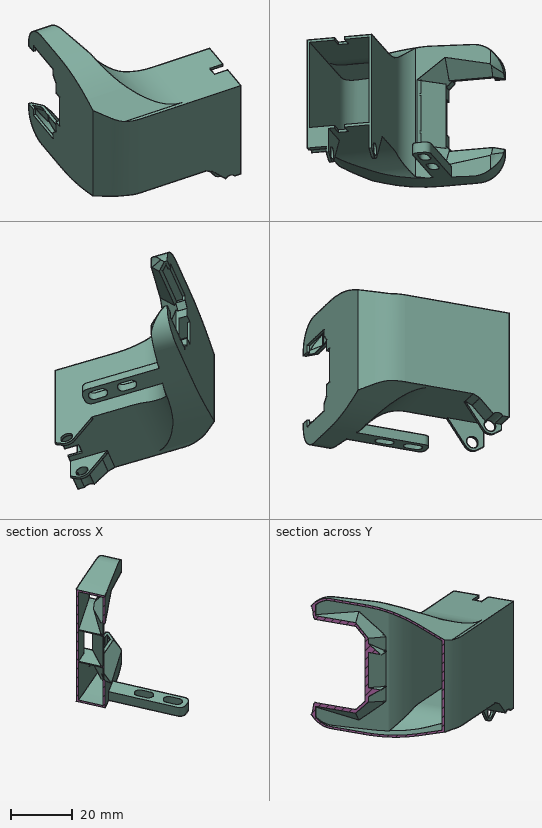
import cadquery as cq
import math


width = 52.8
depth = 50.0
half_height = 22.5
wall = 0.9

tip_radius = 8.9
flat_end_x = 21.8
curve_end_x = 40.8
flank_end_x = 51.65
top_flank_angle = math.radians(22.0)
bottom_flank_angle = math.radians(16.7)

mouth_half = 12.05
mouth_depth = 18.95
mouth_chamfer = 1.95
edge_bevel_depth = 3.9
corner_bevel_depth = 3.2
jaw_bevel_rate = 1.28
back_bevel_rate = 1.25
corner_bevel_rate = 1.27

tip_length = 3.3
tip_profile = ((10.45, -0.25), (13.55, 2.2), (24.0, 7.2))
jaw_profile = ((10.45, 2.7), (15.3, 6.75), (24.0, 6.75))
tip_shift_ratio = 1.5

back_start_y = 6.25
back_slope = 0.15
neck_foot_x = 27.45
neck_foot_y = back_start_y + back_slope * neck_foot_x
neck_top_y = 18.85
column_left = 31.05
corner_cut = 4.2
corner_cut_x = 44.85

shoulder_y = 9.8
top_shoulder_end_y = 29.05
bottom_shoulder_end_y = 23.1

jaw_slot_end = 16.95
jaw_slot_height = 2.45
floor_slot_height = 12.05
floor_slot_depth = 2.55
vane_tip_x = 27.2

notch_width = 3.3
notch_length = 4.8

arm_left = 15.7
arm_width = 6.05
arm_thickness = 3.5
arm_start_y = 7.9
arm_end_y = 35.65
arm_corner_radius = 2.1
arm_slot_width = 3.4
arm_slot_length = 6.4
arm_slot_centres_y = (20.65, 30.7)

tab_hole_y = 46.0
tab_hole_z = -23.55
tab_hole_radius = 2.0
tab_radius = 2.95
tab_front_y = 37.2
tab_rear_z = -24.45
second_tab_x = 45.5
block_step_y = 39.6
block_step_z = -17.6


def flank_drop(angle):
    """Height lost from the flat edge to the column face along a curve and its flank."""
    curve_length = curve_end_x - flat_end_x
    return curve_length * math.tan(angle / 2) + (flank_end_x - curve_end_x) * math.tan(angle)


def flank_point(angle, fraction):
    """Inset (x, drop) on the curve at a fraction of its turning angle."""
    radius = (curve_end_x - flat_end_x) / math.sin(angle)
    turned = angle * fraction
    return flat_end_x + radius * math.sin(turned), radius * (1 - math.cos(turned))


column_top = half_height - flank_drop(top_flank_angle)
column_bottom = flank_drop(bottom_flank_angle) - half_height


def front_outline():
    """C-shaped outline in the XZ plane."""
    diagonal = tip_radius * (1 - math.sqrt(0.5))
    tip_z = half_height - tip_radius
    top_mid_x, top_mid_drop = flank_point(top_flank_angle, 0.5)
    top_end_x, top_end_drop = flank_point(top_flank_angle, 1.0)
    low_mid_x, low_mid_drop = flank_point(bottom_flank_angle, 0.5)
    low_end_x, low_end_drop = flank_point(bottom_flank_angle, 1.0)
    return (
        cq.Workplane("XZ")
        .moveTo(0, mouth_half)
        .lineTo(0, tip_z)
        .threePointArc((diagonal, half_height - diagonal), (tip_radius, half_height))
        .lineTo(flat_end_x, half_height)
        .threePointArc((top_mid_x, half_height - top_mid_drop), (top_end_x, half_height - top_end_drop))
        .lineTo(flank_end_x, column_top)
        .lineTo(width, column_top)
        .lineTo(width, column_bottom)
        .lineTo(flank_end_x, column_bottom)
        .lineTo(low_end_x, low_end_drop - half_height)
        .threePointArc((low_mid_x, low_mid_drop - half_height), (flat_end_x, -half_height))
        .lineTo(tip_radius, -half_height)
        .threePointArc((diagonal, diagonal - half_height), (0, -tip_z))
        .lineTo(0, -mouth_half)
        .lineTo(mouth_depth - mouth_chamfer, -mouth_half)
        .lineTo(mouth_depth, mouth_chamfer - mouth_half)
        .lineTo(mouth_depth, mouth_half - mouth_chamfer)
        .lineTo(mouth_depth - mouth_chamfer, mouth_half)
        .close()
    )


def tangent_arc_middle(start, along, across):
    """Middle of an arc that leaves start parallel to Y and ends at the offset (across, along)."""
    radius = (along**2 + across**2) / (2 * abs(across))
    half_turn = math.atan2(abs(across), abs(along))
    sideways = math.copysign(radius * (1 - math.cos(half_turn)), across)
    forward = math.copysign(radius * math.sin(half_turn), along)
    return start[0] + sideways, start[1] + forward


def plan_outline(end_y):
    """Outline in the XY plane: sloped plate back, curved neck and straight column."""
    neck_top = (column_left, neck_top_y)
    neck_middle = tangent_arc_middle(neck_top, neck_foot_y - neck_top_y, neck_foot_x - column_left)
    cut_end_x = corner_cut_x + corner_cut
    edge_radius = (width - cut_end_x) / (1 - math.cos(math.pi / 4))
    edge_end = (width, corner_cut + edge_radius * math.sin(math.pi / 4))
    edge_middle = (
        width - edge_radius * (1 - math.cos(math.pi / 8)),
        edge_end[1] - edge_radius * math.sin(math.pi / 8),
    )
    return (
        cq.Workplane("XY")
        .moveTo(0, 0)
        .lineTo(corner_cut_x, 0)
        .lineTo(cut_end_x, corner_cut)
        .threePointArc(edge_middle, edge_end)
        .lineTo(width, end_y)
        .lineTo(column_left, end_y)
        .lineTo(*neck_top)
        .threePointArc(neck_middle, (neck_foot_x, neck_foot_y))
        .lineTo(0, back_start_y)
        .close()
    )


def side_outline(end_y):
    """Outline in the YZ plane: full height plate with concave shoulders down to the column."""
    top_start = (column_top, top_shoulder_end_y)
    low_start = (column_bottom, bottom_shoulder_end_y)
    top_middle_z, top_middle_y = tangent_arc_middle(
        top_start, shoulder_y - top_shoulder_end_y, half_height - column_top
    )
    low_middle_z, low_middle_y = tangent_arc_middle(
        low_start, shoulder_y - bottom_shoulder_end_y, -half_height - column_bottom
    )
    return (
        cq.Workplane("YZ")
        .moveTo(0, -half_height)
        .lineTo(shoulder_y, -half_height)
        .threePointArc((low_middle_y, low_middle_z), (bottom_shoulder_end_y, column_bottom))
        .lineTo(end_y, column_bottom)
        .lineTo(end_y, column_top)
        .lineTo(top_shoulder_end_y, column_top)
        .threePointArc((top_middle_y, top_middle_z), (shoulder_y, half_height))
        .lineTo(0, half_height)
        .close()
    )


def box(x_range, y_range, z_range):
    """Axis-aligned box between pairs of limits."""
    sizes = [high - low for low, high in (x_range, y_range, z_range)]
    return cq.Workplane("XY").box(*sizes, centered=False).translate((x_range[0], y_range[0], z_range[0]))


def ruled_solid(first, second):
    """Solid with flat ends joined by ruled sides between two matching 3D polygons."""
    wires = [cq.Wire.makePolygon([cq.Vector(*p) for p in loop], close=True) for loop in (first, second)]
    return cq.Workplane(obj=cq.Solid.makeLoft(wires, True))


def mouth_bevel():
    """Clearance that widens towards the rear behind the jaws and the mouth floor."""
    corner_x = mouth_depth - mouth_chamfer

    def section(y):
        opened = max(y - edge_bevel_depth, 0)
        jaw_z = mouth_half + jaw_bevel_rate * opened
        floor_x = mouth_depth + back_bevel_rate * opened
        corner_sum = corner_x + mouth_half + corner_bevel_rate * (y - corner_bevel_depth)
        jaw_x = corner_sum - jaw_z
        floor_z = corner_sum - floor_x
        upper = [(-wall, jaw_z), (jaw_x, jaw_z), (floor_x, floor_z)]
        lower = [(x, -z) for x, z in reversed(upper)]
        return [(x, y, z) for x, z in upper + lower]

    front = ruled_solid(section(corner_bevel_depth), section(edge_bevel_depth))
    return front.union(ruled_solid(section(edge_bevel_depth), section(neck_foot_y)))


def tip_bevel(side):
    """Blend that thins a jaw towards its tip; side is +1 for the upper jaw, -1 for the lower."""

    def section(x, profile):
        front = [(y, z) for z, y in profile]
        rear = [(neck_foot_y, profile[-1][0]), (neck_foot_y, profile[0][0])]
        return [(x, y, side * z) for y, z in front + rear]

    return ruled_solid(section(0, tip_profile), section(tip_length, jaw_profile))


def cut_bevels(body, bevel_shift, tip_shift):
    """Remove the rear bevels, moved forwards by the given distances."""
    body = body.cut(mouth_bevel().translate((0, -bevel_shift, 0)))
    for side in (1, -1):
        body = body.cut(tip_bevel(side).translate((0, -tip_shift, 0)))
    return body


def outer_body():
    plate = front_outline().extrude(-depth)
    plan = plan_outline(depth).extrude(half_height, both=True)
    profile = side_outline(depth).extrude(width)
    return cut_bevels(plate.intersect(plan).intersect(profile), 0, 0)


def cavity():
    """Air passage one wall inside the body, open along the jaw edges and at the column end."""
    open_end = depth + 2 * wall
    passage = front_outline().offset2D(-wall).extrude(-open_end)
    for low, high in ((mouth_half, mouth_half + 2 * wall), (-mouth_half - 2 * wall, -mouth_half)):
        passage = passage.union(box((wall, jaw_slot_end), (0, neck_foot_y), (low, high)))
    floor_slot_x = (mouth_depth, mouth_depth + floor_slot_depth)
    floor_slot_z = (-floor_slot_height / 2, floor_slot_height / 2)
    passage = passage.union(box(floor_slot_x, (0, neck_foot_y), floor_slot_z))
    plan = plan_outline(open_end).offset2D(-wall).extrude(half_height, both=True)
    profile = side_outline(open_end).offset2D(-wall).extrude(width)
    bevel_shift = wall * math.hypot(1, 1 / jaw_bevel_rate)
    tip_shift = tip_shift_ratio * wall
    passage = passage.intersect(plan).intersect(profile).cut(vane(1)).cut(vane(-1))
    return cut_bevels(passage, bevel_shift, tip_shift)


def vane(side):
    """Wedge between the floor slot and a jaw channel; side is +1 above, -1 below."""
    slot_edge_z = side * floor_slot_height / 2
    return (
        cq.Workplane("XZ")
        .moveTo(mouth_depth, slot_edge_z)
        .lineTo(vane_tip_x, slot_edge_z)
        .lineTo(jaw_slot_end, side * (mouth_half + wall))
        .lineTo(jaw_slot_end, side * mouth_half)
        .lineTo(mouth_depth, side * (mouth_half - mouth_chamfer))
        .close()
        .extrude(-neck_foot_y)
    )


def outlet_slots():
    """Slots through the front wall along both jaws and in the mouth floor."""
    slots = box(
        (mouth_depth, mouth_depth + floor_slot_depth),
        (0, wall),
        (-floor_slot_height / 2, floor_slot_height / 2),
    )
    slot_top = mouth_half + jaw_slot_height
    for low, high in ((mouth_half, slot_top), (-slot_top, -mouth_half)):
        slots = slots.union(box((tip_length, jaw_slot_end), (0, wall), (low, high)))
    return slots


def column_notch():
    centre_x = (column_left + width) / 2
    return box(
        (centre_x - notch_width / 2, centre_x + notch_width / 2),
        (depth - notch_length, depth),
        (column_bottom, column_top),
    )


def arm():
    """Flat arm level with the plate bottom, with two long holes."""
    bar = box(
        (arm_left, arm_left + arm_width),
        (arm_start_y, arm_end_y),
        (-half_height, arm_thickness - half_height),
    )
    bar = bar.edges("|Z and >Y").fillet(arm_corner_radius)
    centres = [(arm_left + arm_width / 2, y) for y in arm_slot_centres_y]
    holes = (
        cq.Workplane("XY", origin=(0, 0, -half_height))
        .pushPoints(centres)
        .slot2D(arm_slot_length, arm_slot_width, 90)
        .extrude(arm_thickness)
    )
    return bar.cut(holes)


def tangent_point(y, z, turn):
    """Point where a line from (y, z) touches the tab's rounded end; turn picks the side."""
    distance = math.hypot(y - tab_hole_y, z - tab_hole_z)
    angle = math.atan2(z - tab_hole_z, y - tab_hole_y) + turn * math.acos(tab_radius / distance)
    return tab_hole_y + tab_radius * math.cos(angle), tab_hole_z + tab_radius * math.sin(angle)


def tab(left, right):
    """Tab under the column, with an end rounded about the hole centre."""
    return (
        cq.Workplane("YZ", origin=(left, 0, 0))
        .moveTo(depth, column_bottom + wall)
        .lineTo(depth, tab_rear_z)
        .lineTo(*tangent_point(depth, tab_rear_z, -1))
        .threePointArc(
            (tab_hole_y, tab_hole_z - tab_radius),
            tangent_point(tab_front_y, column_bottom, 1),
        )
        .lineTo(tab_front_y, column_bottom)
        .lineTo(tab_front_y, column_bottom + wall)
        .close()
        .extrude(right - left)
    )


def mount():
    """Two thin tabs, the second backed by a block cut level with the plate bottom."""
    second_tab_end = second_tab_x + wall
    block = (
        cq.Workplane("YZ", origin=(second_tab_end, 0, 0))
        .moveTo(tab_front_y, column_bottom)
        .lineTo(block_step_y, block_step_z)
        .lineTo(block_step_y + block_step_z + half_height, -half_height)
        .lineTo(depth, -half_height)
        .lineTo(depth, column_bottom + wall)
        .lineTo(tab_front_y, column_bottom + wall)
        .close()
        .extrude(width - second_tab_end)
    )
    hole = (
        cq.Workplane("YZ", origin=(column_left, tab_hole_y, tab_hole_z))
        .circle(tab_hole_radius)
        .extrude(width - column_left)
    )
    tabs = tab(column_left, column_left + wall).union(tab(second_tab_x, second_tab_end))
    return tabs.union(block).cut(hole)


result = (
    outer_body()
    .union(arm())
    .cut(cavity())
    .cut(outlet_slots())
    .cut(column_notch())
    .union(mount())
)